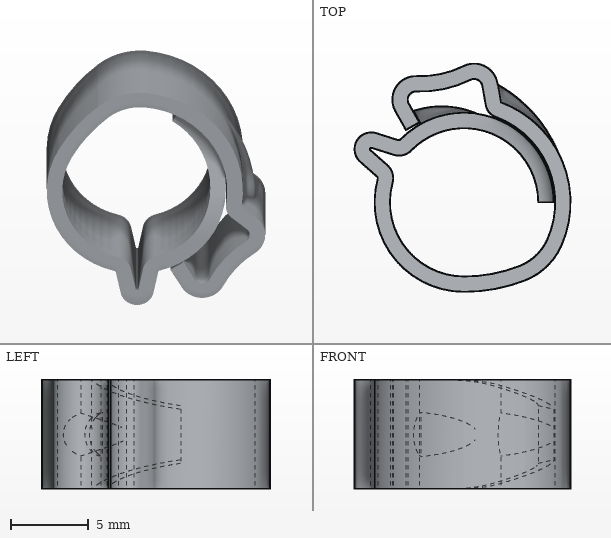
import cadquery as cq
import math

WIDTH = 7.0
THICKNESS = 1.0
HALF_THICKNESS = THICKNESS / 2
POINT_TOLERANCE = 1e-6

RING_RADIUS = 5.25
OVERLAP_RADIUS = 6.34
RAMP_RADIUS = 10.25
LAP_START = -24.0

RING_SWEEP = 105.3
EAR_ROOT_RADIUS = 0.62
EAR_ROOT_TURN = 63.7
EAR_ROOT_LENGTH = 1.46
EAR_TIP_RADIUS = 0.58
EAR_TIP_TURN = 156.0
TAIL_BEND_RADIUS = 0.6

LAP_END = 69.75
LATCH_ROOT_TURN = 59.7
LATCH_ROOT_LENGTH = 1.25
LATCH_CREST_RADIUS = 1.03
LATCH_CREST_TURN = 106.3
LATCH_SADDLE_RADIUS = 6.73
LATCH_SADDLE_TURN = 28.5
LATCH_HOOK_RADIUS = 1.02
LATCH_HOOK_TURN = 121.7
LATCH_FOOT_LENGTH = 1.38

RIB_HALF_WIDTH = 1.5
RIB_BULGE = 1.2
TAIL_RIB_AXIS = (-1.45, 0.5)
TAIL_RIB_RADIUS = 5.67
TAIL_RIB_END = 119.0
LAP_RIB_AXIS = (-2.15, -0.2)
LAP_RIB_RADIUS = 8.87
LAP_RIB_END = 75.0

TAPER_ANGLE = 15.0
TAPER_DIRECTION = -32.2
TAPER_START = -3.53
TAPER_BLEND_RADIUS = 10.5


def advance(pose, move):
    """Pose (x, y, heading in radians) after a move: (length, None) or (radius, turn in degrees)."""
    x, y, heading = pose
    size, turn = move
    if turn is None:
        return x + size * math.cos(heading), y + size * math.sin(heading), heading
    side = math.copysign(size, turn)
    new_heading = heading + math.radians(turn)
    new_x = x + side * (math.sin(new_heading) - math.sin(heading))
    new_y = y - side * (math.cos(new_heading) - math.cos(heading))
    return new_x, new_y, new_heading


def edge_point(pose, offset):
    """Point beside the band's middle line; positive offsets lie on the left."""
    x, y, heading = pose
    return x - offset * math.sin(heading), y + offset * math.cos(heading)


def trace(outline, start, end, middle, turn):
    """Add one straight or curved edge, skipping the inside of a sharp fold."""
    if math.dist(start, end) < POINT_TOLERANCE:
        return outline
    if turn is None:
        return outline.lineTo(*end)
    return outline.threePointArc(middle, end)


def strip(pose, moves):
    """Full-width band of constant thickness whose middle line follows the moves."""
    poses = [pose]
    middles = []
    for size, turn in moves:
        half_move = (size / 2, None) if turn is None else (size, turn / 2)
        middles.append(advance(poses[-1], half_move))
        poses.append(advance(poses[-1], (size, turn)))

    left = [edge_point(p, HALF_THICKNESS) for p in poses]
    right = [edge_point(p, -HALF_THICKNESS) for p in poses]
    outline = cq.Workplane("XY").moveTo(*left[0])
    for i, (_, turn) in enumerate(moves):
        middle = edge_point(middles[i], HALF_THICKNESS)
        outline = trace(outline, left[i], left[i + 1], middle, turn)
    outline = outline.lineTo(*right[-1])
    for i in reversed(range(len(moves))):
        middle = edge_point(middles[i], -HALF_THICKNESS)
        outline = trace(outline, right[i + 1], right[i], middle, moves[i][1])
    return outline.close().extrude(WIDTH)


def ear_and_tail():
    """Left half of the ring, the grip ear and the tail lying inside the lap."""
    start = (0, -RING_RADIUS, math.pi)
    moves = [
        (RING_RADIUS, -RING_SWEEP),
        (EAR_ROOT_RADIUS, EAR_ROOT_TURN),
        (EAR_ROOT_LENGTH, None),
        (EAR_TIP_RADIUS, -EAR_TIP_TURN),
    ]
    pose = start
    for move in moves:
        pose = advance(pose, move)

    heading = pose[2]
    bend_x, bend_y = edge_point(pose, TAIL_BEND_RADIUS)
    along = bend_x * math.cos(heading) + bend_y * math.sin(heading)
    across = bend_y * math.cos(heading) - bend_x * math.sin(heading)
    straight = -along - math.sqrt((RING_RADIUS + TAIL_BEND_RADIUS) ** 2 - across ** 2)
    bend_x += straight * math.cos(heading)
    bend_y += straight * math.sin(heading)
    tail_sweep = math.degrees(math.atan2(bend_y, bend_x))
    tail_bend_turn = tail_sweep - 90 - math.degrees(heading)

    moves += [
        (straight, None),
        (TAIL_BEND_RADIUS, tail_bend_turn),
        (RING_RADIUS, -tail_sweep),
    ]
    return strip(start, moves)


def taper_cutters():
    """Two wedges that narrow the tail evenly from both edges, with blended starts."""
    reach = 2 * RING_RADIUS
    angle = math.radians(TAPER_ANGLE)
    blend_length = TAPER_BLEND_RADIUS * math.sin(angle)
    blend_drop = TAPER_BLEND_RADIUS * (1 - math.cos(angle))
    half_angle = angle / 2
    blend_middle = (
        TAPER_START + TAPER_BLEND_RADIUS * math.sin(half_angle),
        WIDTH - TAPER_BLEND_RADIUS * (1 - math.cos(half_angle)),
    )
    blend_end = (TAPER_START + blend_length, WIDTH - blend_drop)
    direction = math.radians(TAPER_DIRECTION)
    plane = cq.Plane(
        origin=(0, 0, 0),
        xDir=(math.cos(direction), math.sin(direction), 0),
        normal=(math.sin(direction), -math.cos(direction), 0),
    )
    slope_end = blend_end[1] - (reach - blend_end[0]) * math.tan(angle)
    top = (
        cq.Workplane(plane)
        .moveTo(TAPER_START, WIDTH)
        .threePointArc(blend_middle, blend_end)
        .lineTo(reach, slope_end)
        .lineTo(reach, WIDTH)
        .close()
        .extrude(-reach)
    )
    bottom = top.mirror("XY", (0, 0, WIDTH / 2))
    return top.union(bottom)


def lap_and_latch():
    """Right half of the ring widening into the lap, ending in the hooked latch."""
    rise = RAMP_RADIUS - RING_RADIUS
    excess = RAMP_RADIUS - OVERLAP_RADIUS
    lap_start = math.radians(LAP_START)
    distance = (rise ** 2 - excess ** 2) / (2 * (excess + rise * math.sin(lap_start)))
    closing_radius = OVERLAP_RADIUS - distance
    closing_x = distance * math.cos(lap_start)
    closing_y = distance * math.sin(lap_start)
    ramp_sweep = math.degrees(math.atan2(closing_x, rise - closing_y))
    moves = [
        (RAMP_RADIUS, ramp_sweep),
        (closing_radius, 90 + LAP_START - ramp_sweep),
        (OVERLAP_RADIUS, LAP_END - LAP_START),
        (HALF_THICKNESS, -LATCH_ROOT_TURN),
        (LATCH_ROOT_LENGTH, None),
        (LATCH_CREST_RADIUS, LATCH_CREST_TURN),
        (LATCH_SADDLE_RADIUS, -LATCH_SADDLE_TURN),
        (LATCH_HOOK_RADIUS, LATCH_HOOK_TURN),
        (LATCH_FOOT_LENGTH, None),
    ]
    return strip((0, -RING_RADIUS, 0), moves)


def rib(axis, crest_radius, band_radius, end_angle):
    """Crescent rib rising from the band's outer face towards a steep radial end."""
    mid_height = WIDTH / 2
    shoulder = crest_radius - RIB_BULGE
    dome = (
        cq.Workplane("XZ")
        .moveTo(0, mid_height - RIB_HALF_WIDTH)
        .lineTo(shoulder, mid_height - RIB_HALF_WIDTH)
        .threePointArc((crest_radius, mid_height), (shoulder, mid_height + RIB_HALF_WIDTH))
        .lineTo(0, mid_height + RIB_HALF_WIDTH)
        .close()
        .revolve(360, (0, 0, 0), (0, 1, 0))
        .translate((*axis, 0))
    )
    end = math.radians(end_angle)
    side = 2 * crest_radius
    end_x, end_y = side * math.cos(end), side * math.sin(end)
    sector = (
        cq.Workplane("XY")
        .polyline([(0, 0), (end_y, -end_x), (end_x + end_y, end_y - end_x), (end_x, end_y)])
        .close()
        .extrude(WIDTH)
    )
    band_core = cq.Workplane("XY").circle(band_radius).extrude(WIDTH)
    return dome.intersect(sector).cut(band_core)


tail_rib = rib(TAIL_RIB_AXIS, TAIL_RIB_RADIUS, RING_RADIUS, TAIL_RIB_END)
lap_rib = rib(LAP_RIB_AXIS, LAP_RIB_RADIUS, OVERLAP_RADIUS, LAP_RIB_END)
tail_side = ear_and_tail().cut(taper_cutters())
result = tail_side.union(lap_and_latch()).union(tail_rib).union(lap_rib)